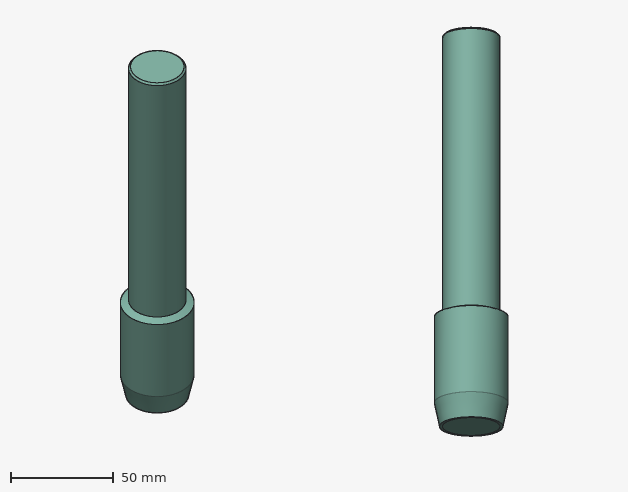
import cadquery as cq
import math

pin_length = 200.0
pin_radius = 14.0
pin_chamfer = 1.0

sleeve_radius = 18.0
sleeve_length = 57.5
shoulder_height = 1.5
taper_height = 12.0
taper_angle = 12.0
sleeve_bottom_radius = sleeve_radius - taper_height * math.tan(math.radians(taper_angle))


def make_pin():
    """Round bar with a chamfered top rim."""
    bar = cq.Workplane("XY").circle(pin_radius).extrude(pin_length)
    return bar.faces(">Z").chamfer(pin_chamfer)


def make_sleeve():
    """Revolved sleeve with a tapered foot and a conical shoulder that runs up to the pin."""
    return (
        cq.Workplane("XZ")
        .moveTo(pin_radius, 0)
        .lineTo(sleeve_bottom_radius, 0)
        .lineTo(sleeve_radius, taper_height)
        .lineTo(sleeve_radius, sleeve_length - shoulder_height)
        .lineTo(pin_radius, sleeve_length)
        .close()
        .revolve(360, (0, 0, 0), (0, 1, 0))
    )


pin = make_pin()
sleeve = make_sleeve()

result = cq.Compound.makeCompound([pin.val(), sleeve.val()])